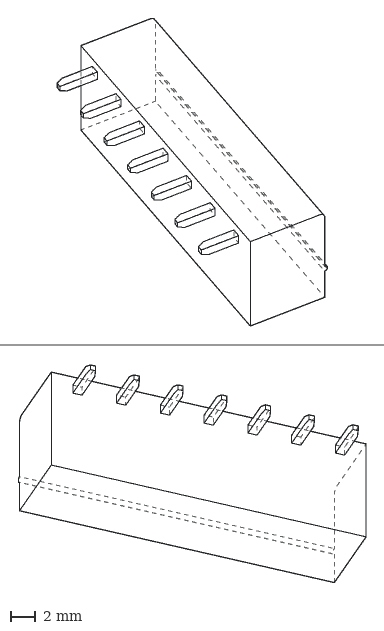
import cadquery as cq
import math

housing_length = 27.45
housing_depth = 6.97
housing_height = 9.2
edge_radius = 0.5

ridge_overhang = 0.25
ridge_height = 0.55
ridge_top_z = 3.38
ridge_corner_radius = 0.2
ridge_slope_height = 0.16

pin_count = 7
pin_pitch = 3.82
pin_width = 0.8
pin_length = 3.4
pin_drop = 1.2
pin_center_z = housing_height - pin_drop
tip_length = 0.58
tip_width = 0.47


def make_housing():
    """Block with its upper back edge rounded."""
    block = cq.Workplane("XY").box(
        housing_length, housing_depth, housing_height, centered=(True, False, False)
    )
    return block.edges(">Y and >Z").fillet(edge_radius)


def make_ridge():
    """Full-length ridge: rounded upper corner, short outer face, sloped underside."""
    outer_face_top = -ridge_corner_radius
    arc_diagonal = ridge_corner_radius * math.sqrt(0.5)
    arc_center_y = ridge_overhang - ridge_corner_radius
    return (
        cq.Workplane("YZ", origin=(-housing_length / 2, housing_depth, ridge_top_z))
        .lineTo(arc_center_y, 0)
        .threePointArc(
            (arc_center_y + arc_diagonal, outer_face_top + arc_diagonal),
            (ridge_overhang, outer_face_top),
        )
        .lineTo(ridge_overhang, ridge_slope_height - ridge_height)
        .lineTo(0, -ridge_height)
        .close()
        .extrude(housing_length)
    )


def make_pin(x):
    """Square pin pointing to -Y, ending in a four-sided tapered tip."""
    shank_length = pin_length - tip_length
    shank = (
        cq.Workplane("XZ", origin=(x, 0, pin_center_z))
        .rect(pin_width, pin_width)
        .extrude(shank_length)
    )
    tip = (
        cq.Workplane("XZ", origin=(x, -shank_length, pin_center_z))
        .rect(pin_width, pin_width)
        .workplane(offset=tip_length)
        .rect(tip_width, tip_width)
        .loft(ruled=True)
    )
    return shank.union(tip)


result = make_housing().union(make_ridge())
for index in range(pin_count):
    pin_x = (index - (pin_count - 1) / 2) * pin_pitch
    result = result.union(make_pin(pin_x))